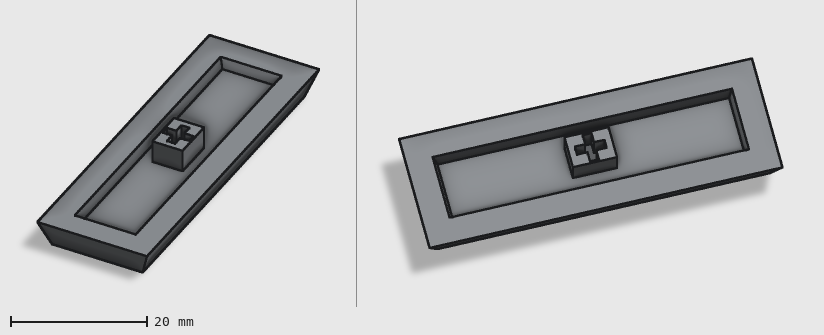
import cadquery as cq

rim_width = 18.25
rim_length = 53.4
body_height = 4.5
side_inset = 1.6

pocket_width = 10.15
pocket_length = 45.25
pocket_depth = 1.65
pocket_inset = 0.6

total_height = 6.5
stem_width = 5.0
stem_length = 6.65
cross_span_x = 4.4
cross_span_y = 4.5
cross_arm_x = 1.35
cross_arm_y = 1.35

floor_height = body_height - pocket_depth
stem_height = total_height - floor_height


def tapered_block(top_width, top_length, inset, base_z, height):
    """Block whose four sides lean in by the inset from top to base."""
    return (
        cq.Workplane("XY")
        .workplane(offset=base_z)
        .rect(top_width - 2 * inset, top_length - 2 * inset)
        .workplane(offset=height)
        .rect(top_width, top_length)
        .loft(ruled=True, combine=True)
    )


def box_on_floor(width, length):
    """Centred box from the pocket floor to the top of the stem."""
    return (
        cq.Workplane("XY")
        .workplane(offset=floor_height)
        .rect(width, length)
        .extrude(stem_height)
    )


body = tapered_block(rim_width, rim_length, side_inset, 0, body_height)
pocket = tapered_block(pocket_width, pocket_length, pocket_inset, floor_height, pocket_depth)

cross = box_on_floor(cross_span_x, cross_arm_y).union(box_on_floor(cross_arm_x, cross_span_y))
stem = box_on_floor(stem_width, stem_length).cut(cross)

result = body.cut(pocket).union(stem)